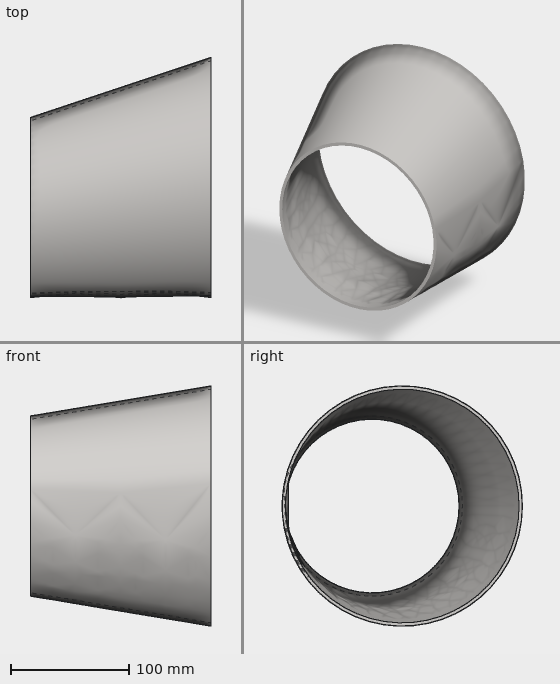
import cadquery as cq

length = 152.5
large_diameter = 203.0
small_diameter = 152.3
wall = 2.8

small_end_offset = -(large_diameter - small_diameter) / 2


def eccentric_cone(small_end_diameter, large_end_diameter):
    """Solid skew cone between the small end at X = 0 and the large end."""
    return (
        cq.Workplane("YZ")
        .center(small_end_offset, 0)
        .circle(small_end_diameter / 2)
        .workplane(offset=length)
        .center(-small_end_offset, 0)
        .circle(large_end_diameter / 2)
        .loft(ruled=True)
    )


outer_body = eccentric_cone(small_diameter, large_diameter)
bore = eccentric_cone(small_diameter - 2 * wall, large_diameter - 2 * wall)

result = outer_body.cut(bore)